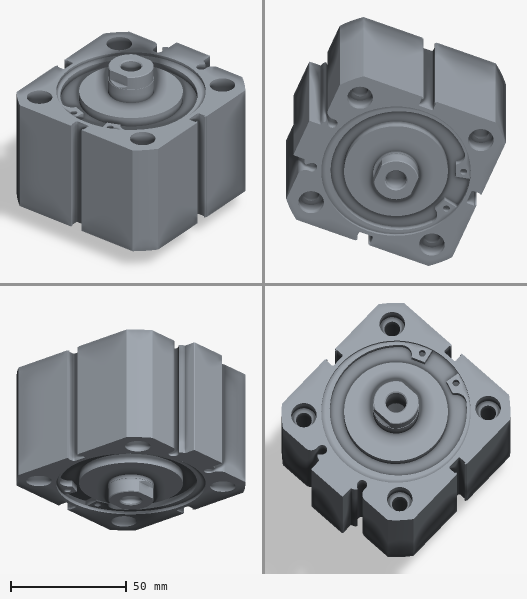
import cadquery as cq
import math


body_height = 51.05
half_width = 38.8
corner_radius = 49.55
half_height = body_height / 2
corner_x = math.sqrt(corner_radius**2 - half_width**2)
corner_mid = corner_radius * math.sqrt(0.5)

rail_half_width = 9.3
rail_top = 44.2
rail_fillet = 0.4
tooth_root = (rail_half_width, 38.9)
tooth_knee = (10.95, 38.3)
tooth_tip = (11.7, 37.4)
groove_center = (11.8, 34.45)
groove_radius = 2.15
groove_neck_angle = math.radians(130)
groove_lip_radius = 3.5

slot_floor = 34.1
slot_half_width = 3.3
slot_corner_radius = 0.6
side_mouth_half_width = 2.65
side_entry_half_width = 3.2
side_entry_depth = 0.3
side_lip_thickness = 0.6
front_mouth_half_width = 2.9
front_lip_thickness = 1.0

hole_offset = 28.2
hole_diameter = 6.8
counterbore_diameter = 11.0
counterbore_depth = 7.05

bore_radius = 32.4
seat_radius = 33.9
ring_depth = 1.4
ring_thickness = 2.8
boss_radius = 22.5
cover_length = 12.45
flange_depth = ring_depth + ring_thickness

ring_inner_radius = 29.7
ring_inner_center_y = -1.5
eye_start_x = 18.8
eye_bottom = (15.8, -25.4)
lug_inner_corner = (12.1, -23.15)
lug_gap_corner = (6.4, -25.3)
lug_gap_end = (8.3, -34.3)
plier_hole = (10.0, -27.55)
plier_hole_diameter = 3.0

rod_radius = 10.0
tip_radius = 9.8
tip_length = 6.3
tip_chamfer = 0.3
upper_reach = 12.95
lower_reach = 8.0
flat_half_width = 8.55
flat_length = 4.8
rod_hole_radius = 4.5
rod_hole_depth = 14.9
rod_hole_chamfer = 0.5
drill_tip_angle = 118


def mirror_points(points):
    """Reflect points in the YZ plane, in reverse order."""
    return [(-x, y) for x, y in reversed(points)]


def mirrored_pair(shape):
    """Join a shape at the upper end with its reflection at the lower end."""
    return shape.union(shape.mirror("XY"))


def disc(radius, top_depth, thickness):
    """Disc on the rod axis whose top lies top_depth below the upper housing face."""
    bottom = half_height - top_depth - thickness
    return cq.Workplane("XY").workplane(offset=bottom).circle(radius).extrude(thickness)


def groove_point(angle):
    """Point on the flank groove on the +X side of the rail."""
    x, y = groove_center
    return (x + groove_radius * math.cos(angle), y + groove_radius * math.sin(angle))


def block():
    """Block with arc corners and the grooved, rounded rail."""
    neck = groove_point(groove_neck_angle)
    groove_bottom = groove_point(-math.pi / 2)
    wall = groove_point(0)
    lip_start = (wall[0], half_width - groove_lip_radius)
    lip_end = (wall[0] + groove_lip_radius, half_width)
    lip_bulge = groove_lip_radius * (1 - math.sqrt(0.5))
    lip_mid = (wall[0] + lip_bulge, half_width - lip_bulge)

    tooth = [tooth_root, tooth_knee, tooth_tip]
    outline = (
        cq.Workplane("XY").workplane(offset=-half_height)
        .moveTo(-rail_half_width, rail_top)
        .lineTo(rail_half_width, rail_top)
        .polyline(tooth, includeCurrent=True)
        .lineTo(*neck)
        .threePointArc(groove_bottom, wall)
        .lineTo(*lip_start)
        .threePointArc(lip_mid, lip_end)
        .lineTo(corner_x, half_width)
        .threePointArc((corner_mid, corner_mid), (half_width, corner_x))
        .lineTo(half_width, -corner_x)
        .threePointArc((corner_mid, -corner_mid), (corner_x, -half_width))
        .lineTo(-corner_x, -half_width)
        .threePointArc((-corner_mid, -corner_mid), (-half_width, -corner_x))
        .lineTo(-half_width, corner_x)
        .threePointArc((-corner_mid, corner_mid), (-corner_x, half_width))
        .lineTo(-lip_end[0], half_width)
        .threePointArc((-lip_mid[0], lip_mid[1]), (-lip_start[0], lip_start[1]))
        .lineTo(-wall[0], wall[1])
        .threePointArc((-groove_bottom[0], groove_bottom[1]), (-neck[0], neck[1]))
        .polyline(mirror_points(tooth), includeCurrent=True)
        .close()
    )
    solid = outline.extrude(body_height)
    return solid.edges("|Z and >Y").fillet(rail_fillet)


def slot_layer(half_slot, inner, outer):
    """Rectangular cut in the -Y side between two distances from the axis."""
    return (
        cq.Workplane("XY")
        .box(2 * half_slot, outer - inner, body_height)
        .translate((0, -(inner + outer) / 2, 0))
    )


def slot_pocket(outer):
    """Wide inner part of a sensor slot, with rounded floor corners."""
    pocket = slot_layer(slot_half_width, slot_floor, outer)
    return pocket.edges("|Z and >Y").fillet(slot_corner_radius)


def front_slot():
    lip_inner = half_width - front_lip_thickness
    mouth = slot_layer(front_mouth_half_width, lip_inner, half_width)
    return slot_pocket(lip_inner).union(mouth)


def side_slot():
    lip_outer = half_width - side_entry_depth
    lip_inner = lip_outer - side_lip_thickness
    entry = slot_layer(side_entry_half_width, lip_outer, half_width)
    mouth = slot_layer(side_mouth_half_width, lip_inner, lip_outer)
    return slot_pocket(lip_inner).union(mouth).union(entry)


def make_housing():
    housing = block().cut(front_slot())
    for angle in (-90, 90):
        housing = housing.cut(side_slot().rotate((0, 0, 0), (0, 0, 1), angle))
    for face in (">Z", "<Z"):
        housing = (
            housing.faces(face).workplane(origin=(0, 0, 0))
            .rect(2 * hole_offset, 2 * hole_offset, forConstruction=True)
            .vertices()
            .cboreHole(hole_diameter, counterbore_diameter, counterbore_depth)
        )
    bore = disc(bore_radius, 0, body_height)
    ring_seats = mirrored_pair(disc(seat_radius, ring_depth, ring_thickness))
    return housing.cut(bore).cut(ring_seats)


def make_cover():
    """Upper end cover: bored flange under the ring, boss flush with the housing."""
    flange = disc(bore_radius, flange_depth, cover_length - flange_depth)
    boss = disc(boss_radius, 0, flange_depth)
    return flange.union(boss).cut(disc(rod_radius, 0, cover_length))


def make_snap_ring():
    """Upper snap ring, open towards -Y, with two lugs for the pliers."""
    rise = math.sqrt(ring_inner_radius**2 - eye_start_x**2)
    eye_start_y = ring_inner_center_y - rise
    crown = (0, ring_inner_center_y + ring_inner_radius)
    bottom = half_height - flange_depth
    opening = (
        cq.Workplane("XY").workplane(offset=bottom)
        .moveTo(-eye_start_x, eye_start_y)
        .threePointArc(crown, (eye_start_x, eye_start_y))
        .threePointArc(eye_bottom, lug_inner_corner)
        .lineTo(*lug_gap_corner)
        .lineTo(*lug_gap_end)
        .polyline(mirror_points([lug_inner_corner, lug_gap_corner, lug_gap_end]), includeCurrent=True)
        .threePointArc((-eye_bottom[0], eye_bottom[1]), (-eye_start_x, eye_start_y))
        .close()
        .extrude(ring_thickness)
    )
    hole_x, hole_y = plier_hole
    plier_holes = (
        cq.Workplane("XY").workplane(offset=bottom)
        .pushPoints([(hole_x, hole_y), (-hole_x, hole_y)])
        .circle(plier_hole_diameter / 2)
        .extrude(ring_thickness)
    )
    return disc(seat_radius, ring_depth, ring_thickness).cut(opening).cut(plier_holes)


def rod_hole():
    """Chamfered blind hole with a drill tip, entering at Z = 0 and going down."""
    tip_depth = rod_hole_radius / math.tan(math.radians(drill_tip_angle / 2))
    return (
        cq.Workplane("XZ")
        .polyline([
            (0, 0),
            (rod_hole_radius + rod_hole_chamfer, 0),
            (rod_hole_radius, -rod_hole_chamfer),
            (rod_hole_radius, -rod_hole_depth),
            (0, -rod_hole_depth - tip_depth),
        ])
        .close()
        .revolve(360, (0, 0), (0, 1))
    )


def wrench_flat():
    """Cut for the +Y flat at a rod end at Z = 0; its lower end slopes outwards at 45 degrees."""
    flat_depth = rod_radius - flat_half_width
    return (
        cq.Workplane("YZ").workplane(offset=-rod_radius)
        .polyline([
            (flat_half_width, 0),
            (rod_radius, 0),
            (rod_radius, -flat_length - flat_depth),
            (flat_half_width, -flat_length),
        ])
        .close()
        .extrude(2 * rod_radius)
    )


def rod_half(length):
    """Rod from mid-height up to a finished end at the given distance."""
    shank_length = length - tip_length
    flat = wrench_flat()
    end_cuts = rod_hole().union(flat).union(flat.mirror("XZ"))
    tip = (
        cq.Workplane("XY").workplane(offset=shank_length)
        .circle(tip_radius)
        .extrude(tip_length)
        .faces(">Z").chamfer(tip_chamfer)
    )
    shank = cq.Workplane("XY").circle(rod_radius).extrude(shank_length)
    return shank.union(tip).cut(end_cuts.translate((0, 0, length)))


def make_rod():
    upper = rod_half(half_height + upper_reach)
    lower = rod_half(half_height + lower_reach)
    return upper.union(lower.mirror("XY"))


housing = make_housing()
rod = make_rod()

end_parts = []
for make_part in (make_cover, make_snap_ring):
    upper_part = make_part()
    end_parts.append(upper_part.val())
    end_parts.append(upper_part.mirror("XY").val())

result = cq.Compound.makeCompound([housing.val(), rod.val(), *end_parts])